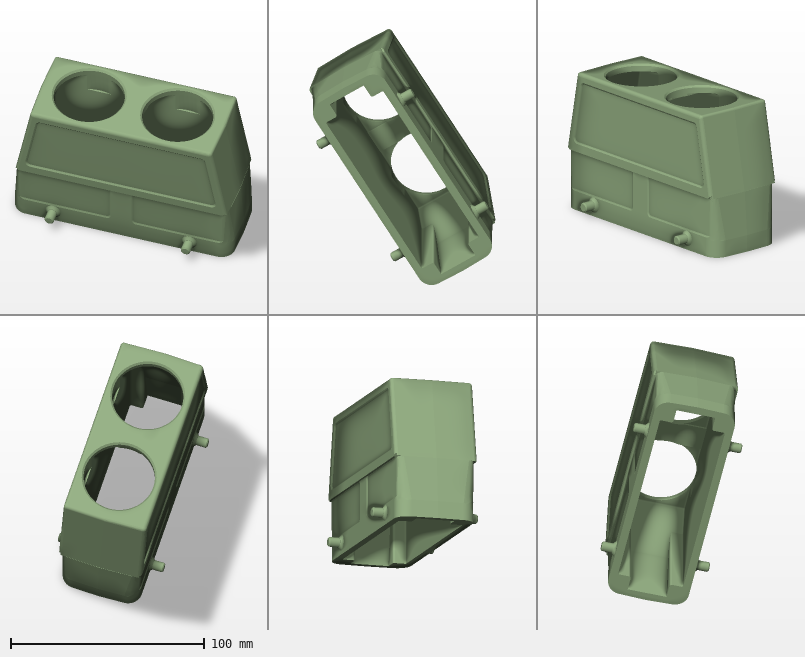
import cadquery as cq
import math

base_length = 120.0
base_width = 42.7
total_height = 75.6
pin_span = 57.2
end_fold = 0.7

rim_height = 9.0
rim_corner_radius = 7.5
ledge_height = 32.3
neck_length = 116.3
neck_corner_radius = 3.8

hood_width = 44.9
hood_bottom_length = 116.0
hood_top_length = 99.6
hood_edge_radius = 1.8
hood_end_radius = 1.5
hood_foot_length = 109.7
hood_foot_bevel = 2.4
end_slope = (hood_bottom_length - hood_top_length) / 2 / (total_height - ledge_height)

cavity_width = 34.5
roof_thickness = 4.0
ceiling_height = total_height - roof_thickness
end_wall = 6.2
rim_end_wall = 4.2
cavity_edge_radius = 0.8
post_spacing = 96.0
post_gap = 20.6
post_corner_radius = 1.2
rib_width = 12.5
rib_drop = 1.2

entry_diameter = 37.0
entry_spacing = 48.0
entry_depth = 14.5
entry_chamfer = 1.0

wall_run = 1.0
hood_panel_depth = 0.7
hood_panel_bottom = 37.7
hood_panel_top = 70.1
hood_panel_bottom_length = 102.2
hood_panel_radius = 1.8
side_panel_depth = 0.5
side_panel_bottom = 11.3
side_panel_top_margin = 0.6
side_panel_end_radius = 2.4
side_panel_gap = 13.2
side_panel_radius = 1.5

pin_diameter = 5.0
pin_chamfer = 0.6
pin_spacing = 73.9
pin_height = 6.2
collar_base_diameter = 8.2
collar_tip_diameter = 5.3
collar_height = 1.5


def folded_outline(length, width):
    """Rectangle whose short sides bulge to a shallow point at mid width."""
    tip = length / 2
    corner = tip - end_fold
    side = width / 2
    return [(tip, 0), (corner, side), (-corner, side), (-tip, 0), (-corner, -side), (corner, -side)]


def rounded_section(length, width, radius):
    """Folded outline with its four corners rounded; the points of the folds stay sharp."""
    outline = folded_outline(length, width)
    return cq.Sketch().polygon(outline + outline[:1]).vertices(">Y or <Y").fillet(radius)


def both_sides(solid):
    """The solid together with its mirror image on the opposite long side."""
    return solid.union(solid.mirror("XZ"))


def make_lower_body():
    """Straight rim below a neck that narrows toward the hood."""
    rim_section = rounded_section(base_length, base_width, rim_corner_radius)
    neck_section = rounded_section(neck_length, base_width, neck_corner_radius)
    rim = cq.Workplane("XY").placeSketch(rim_section).extrude(rim_height)
    neck = (
        cq.Workplane("XY")
        .placeSketch(
            rim_section.moved(cq.Location(cq.Vector(0, 0, rim_height))),
            neck_section.moved(cq.Location(cq.Vector(0, 0, ledge_height))),
        )
        .loft(ruled=True)
    )
    return rim.union(neck)


def make_hood():
    """Upper block with leaning ends and rounded edges, overhanging the neck on the long sides."""
    hood = (
        cq.Workplane("XY", origin=(0, 0, ledge_height))
        .polyline(folded_outline(hood_bottom_length, hood_width)).close()
        .workplane(offset=total_height - ledge_height)
        .polyline(folded_outline(hood_top_length, hood_width)).close()
        .loft(ruled=True)
    )
    hood = hood.faces(">Y or <Y").edges("not <Z").fillet(hood_edge_radius)
    return hood.faces(">Z").edges("not |X").fillet(hood_end_radius)


def make_foot_bevels():
    """Wedges that bevel the overhanging ends of the hood's lower long edges."""
    inner = hood_foot_length / 2
    outer = hood_bottom_length / 2
    wedge = (
        cq.Workplane("XZ", origin=(0, -base_width / 2, 0))
        .polyline([(inner, ledge_height), (outer, ledge_height), (outer, ledge_height + hood_foot_bevel)])
        .close()
        .extrude((hood_width - base_width) / 2)
    )
    return both_sides(wedge.union(wedge.mirror("YZ")))


def make_cavity():
    """Inner void, open at the bottom, less four corner posts and a rib under the ceiling."""
    ceiling_end = hood_top_length / 2 + end_slope * roof_thickness - end_wall
    ledge_end = hood_bottom_length / 2 - end_wall
    rim_end = base_length / 2 - rim_end_wall
    profile = [
        (-rim_end, 0), (-ledge_end, ledge_height), (-ceiling_end, ceiling_height),
        (ceiling_end, ceiling_height), (ledge_end, ledge_height), (rim_end, 0),
    ]
    cavity = cq.Workplane("XZ").polyline(profile).close().extrude(cavity_width / 2, both=True)
    post_length = (base_length - post_spacing) / 2
    post_width = (base_width - post_gap) / 2
    posts = (
        cq.Workplane("XY")
        .rect(post_spacing + post_length, post_gap + post_width, forConstruction=True)
        .vertices()
        .rect(post_length, post_width)
        .extrude(ceiling_height)
        .edges("|Z").fillet(post_corner_radius)
    )
    rib = (
        cq.Workplane("XY", origin=(0, 0, ceiling_height))
        .rect(rib_width, cavity_width).extrude(-rib_drop)
    )
    cavity = cavity.cut(posts)
    wall_edges = cavity.faces(">Y or <Y").edges("not <Z")
    cavity = wall_edges.add(cavity.faces(">Z").edges()).fillet(cavity_edge_radius)
    return cavity.cut(rib)


def make_entries():
    """Two bevelled round openings that also cut shallow hollows into the long inner walls."""
    centers = [(-entry_spacing / 2, 0), (entry_spacing / 2, 0)]
    bores = (
        cq.Workplane("XY", origin=(0, 0, total_height))
        .pushPoints(centers).circle(entry_diameter / 2).extrude(-entry_depth)
    )
    bevels = (
        cq.Workplane("XY", origin=(0, 0, total_height))
        .pushPoints(centers).circle(entry_diameter / 2 + entry_chamfer)
        .extrude(-entry_chamfer, taper=45)
    )
    return bores.union(bevels)


def panel_cutter(floor, corner_radius, surface_y, depth):
    """Cutter for a panel on the -Y side, its border sloping outward from the floor outline."""
    border_angle = math.degrees(math.atan(wall_run / depth))
    rounded_floor = cq.Sketch().polygon(floor + floor[:1]).vertices().fillet(corner_radius)
    return (
        cq.Workplane("XZ", origin=(0, depth - surface_y, 0))
        .placeSketch(rounded_floor)
        .extrude(depth, taper=-border_angle)
    )


def make_hood_panel():
    bottom = hood_panel_bottom_length / 2
    top = bottom - end_slope * (hood_panel_top - hood_panel_bottom)
    floor = [
        (-bottom, hood_panel_bottom), (bottom, hood_panel_bottom),
        (top, hood_panel_top), (-top, hood_panel_top),
    ]
    return panel_cutter(floor, hood_panel_radius, hood_width / 2, hood_panel_depth)


def make_side_panels():
    inner = side_panel_gap / 2
    outer = base_length / 2 + side_panel_radius
    top = ledge_height - side_panel_top_margin
    floor = [(inner, side_panel_bottom), (outer, side_panel_bottom), (outer, top), (inner, top)]
    panel = panel_cutter(floor, side_panel_radius, base_width / 2, side_panel_depth)
    return panel.union(panel.mirror("YZ"))


def add_side_panels(body):
    """Recess the side panels, which run out at the end corners, and blend their outer ends."""
    body = body.cut(both_sides(make_side_panels()))
    inside = (base_width - side_panel_depth) / 2
    inner_zone = cq.selectors.BoxSelector(
        (-base_length, -inside, 0), (base_length, inside, total_height)
    )
    floors = body.faces("|Y").faces(inner_zone)
    return floors.edges("<X or >X").fillet(side_panel_end_radius)


def make_pin(x):
    """Pin with a conical collar, standing on the -Y side and rooted in the wall."""
    wall = base_width / 2
    root = (base_width / 2 + cavity_width / 2) / 2
    collar_tip = wall + collar_height
    tip = pin_span / 2
    pin_radius = pin_diameter / 2
    profile = [
        (0, root), (collar_base_diameter / 2, root), (collar_base_diameter / 2, wall),
        (collar_tip_diameter / 2, collar_tip), (pin_radius, collar_tip),
        (pin_radius, tip - pin_chamfer), (pin_radius - pin_chamfer, tip), (0, tip),
    ]
    return (
        cq.Workplane("XY")
        .polyline([(radius, -y) for radius, y in profile]).close()
        .revolve(360, (0, 0), (0, 1))
        .translate((x, 0, pin_height))
    )


lower_body = add_side_panels(make_lower_body())
hood = make_hood().cut(make_foot_bevels()).cut(both_sides(make_hood_panel()))
result = lower_body.union(hood).cut(make_cavity()).cut(make_entries())
for pin_x in (-pin_spacing / 2, pin_spacing / 2):
    result = result.union(both_sides(make_pin(pin_x)))